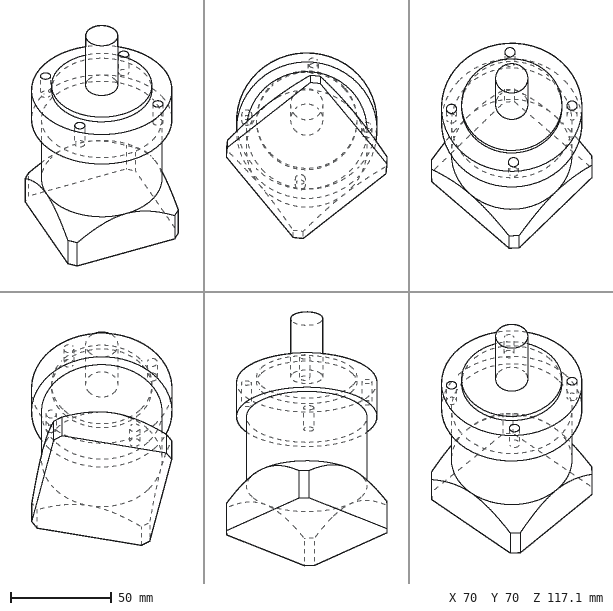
import cadquery as cq

total_height = 117.1
shaft_diameter = 16.0
shaft_length = 32.0
pilot_diameter = 50.0
pilot_height = 3.0
flange_diameter = 70.0
flange_height = 19.0
body_diameter = 60.1
mount_height = 25.1

mount_width = body_diameter
mount_corner_chamfer = 3.5

hole_count = 4
hole_diameter = 5.0
hole_circle_diameter = body_diameter
hole_start_angle = 45
hole_depth = 11.7

shaft_base = total_height - shaft_length
pilot_base = shaft_base - pilot_height
flange_base = pilot_base - flange_height


def cylinder(diameter, base, height):
    """Upright cylinder on the Z axis."""
    return cq.Workplane("XY").workplane(offset=base).circle(diameter / 2).extrude(height)


def motor_mount():
    """Chamfered square block whose top corners are trimmed by a 45 degree cone."""
    block = cq.Workplane("XY").rect(mount_width, mount_width).extrude(mount_height)
    block = block.edges("|Z").chamfer(mount_corner_chamfer)
    top_radius = body_diameter / 2
    base_radius = top_radius + mount_height
    cone = cq.Solid.makeCone(base_radius, top_radius, mount_height)
    return block.intersect(cq.Workplane(obj=cone))


def flange_holes():
    """Blind holes on the diagonals, sunk from the top face of the flange."""
    return (
        cq.Workplane("XY")
        .workplane(offset=pilot_base)
        .polarArray(hole_circle_diameter / 2, hole_start_angle, 360, hole_count)
        .circle(hole_diameter / 2)
        .extrude(-hole_depth)
    )


result = (
    motor_mount()
    .union(cylinder(body_diameter, mount_height, flange_base - mount_height))
    .union(cylinder(flange_diameter, flange_base, flange_height))
    .union(cylinder(pilot_diameter, pilot_base, pilot_height))
    .union(cylinder(shaft_diameter, shaft_base, shaft_length))
    .cut(flange_holes())
)